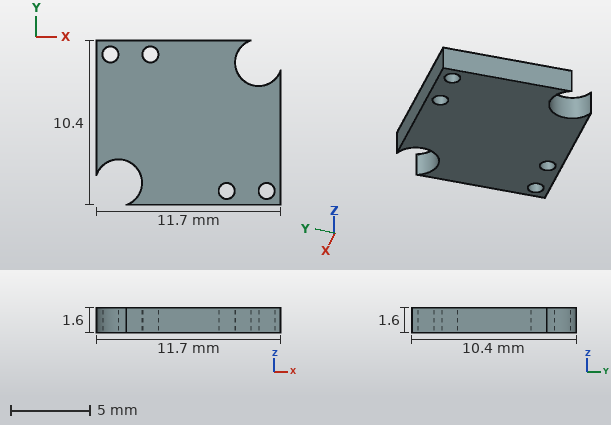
import cadquery as cq

length = 11.66
width = 10.41
thickness = 1.6

cutout_radius = 1.48
cutout_inset = 1.4

hole_diameter = 1.0
hole_inset = 0.89
hole_pitch = 2.53


def through_cylinders(points, radius):
    """Cylinders spanning the plate thickness at the given centres."""
    return cq.Workplane("XY").pushPoints(points).circle(radius).extrude(thickness)


cutout_x = length / 2 - cutout_inset
cutout_y = width / 2 - cutout_inset
hole_x = length / 2 - hole_inset
hole_y = width / 2 - hole_inset

cutout_centres = []
hole_centres = []
for side in (-1, 1):
    cutout_centres.append((side * cutout_x, side * cutout_y))
    for x in (hole_x, hole_x - hole_pitch):
        hole_centres.append((side * x, -side * hole_y))

plate = cq.Workplane("XY").box(length, width, thickness, centered=(True, True, False))
result = plate.cut(through_cylinders(cutout_centres, cutout_radius))

corner_centres = [
    (side * (length - cutout_inset) / 2, side * (width - cutout_inset) / 2) for side in (-1, 1)
]
corner_blocks = (
    cq.Workplane("XY").pushPoints(corner_centres).rect(cutout_inset, cutout_inset).extrude(thickness)
)
result = result.cut(corner_blocks)

result = result.cut(through_cylinders(hole_centres, hole_diameter / 2))